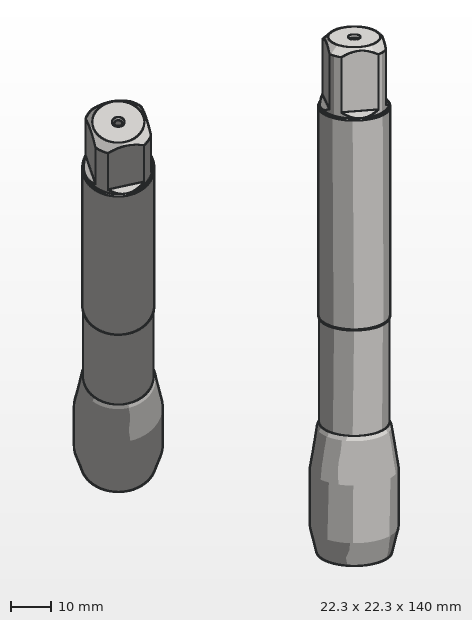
import cadquery as cq
import math

total_length = 140.0
head_length = 35.1
shank_start = 63.8
shank_end = 121.1

head_diameter = 22.3
head_tip_diameter = 19.0
head_back_diameter = 18.8
lead_length = 6.9
back_taper_start = 22.5
back_taper_end = 33.9

neck_diameter = 17.6
shank_diameter = 18.0
shank_chamfer = 0.4

drive_diameter = 17.2
drive_width = 14.4
drive_tip_diameter = 13.0
flat_start = 122.9
runout_depth = (shank_diameter - drive_width) / 2

centre_hole_diameter = 2.0
countersink_diameter = 3.1
countersink_depth = (countersink_diameter - centre_hole_diameter) / 2
centre_hole_depth = 2.8
drill_point_angle = 118.0


def revolve_profile(points):
    """Revolve a closed (radius, height) outline around the Z axis."""
    return cq.Workplane("XZ").polyline(points).close().revolve(360, (0, 0), (0, 1))


def make_cutting_head():
    return revolve_profile([
        (0, 0),
        (head_tip_diameter / 2, 0),
        (head_diameter / 2, lead_length),
        (head_diameter / 2, back_taper_start),
        (head_back_diameter / 2, back_taper_end),
        (neck_diameter / 2, head_length),
        (0, head_length),
    ])


def make_shank_blank():
    """Neck, shank and round drive blank with its end chamfer."""
    neck_radius = neck_diameter / 2
    shank_radius = shank_diameter / 2
    drive_radius = drive_diameter / 2
    tip_radius = drive_tip_diameter / 2
    end_chamfer = drive_radius - tip_radius
    step = shank_radius - drive_radius
    return revolve_profile([
        (0, head_length),
        (neck_radius, head_length),
        (neck_radius, shank_start),
        (shank_radius, shank_start + shank_chamfer),
        (shank_radius, shank_end),
        (drive_radius, shank_end + step),
        (drive_radius, total_length - end_chamfer),
        (tip_radius, total_length),
        (0, total_length),
    ])


def make_flat_cutter():
    """Wedge-ended block that cuts one drive flat and its 45 degree run-out."""
    inner = drive_width / 2
    outer = inner + runout_depth
    return (
        cq.Workplane("XZ")
        .polyline([
            (inner, flat_start),
            (outer, flat_start - runout_depth),
            (outer, total_length),
            (inner, total_length),
        ])
        .close()
        .extrude(shank_diameter / 2, both=True)
    )


def make_centre_hole():
    hole_radius = centre_hole_diameter / 2
    mouth_radius = countersink_diameter / 2
    point_depth = hole_radius / math.tan(math.radians(drill_point_angle / 2))
    return revolve_profile([
        (0, total_length - centre_hole_depth - point_depth),
        (hole_radius, total_length - centre_hole_depth),
        (hole_radius, total_length - countersink_depth),
        (mouth_radius, total_length),
        (0, total_length),
    ])


def make_shank():
    body = make_shank_blank()
    flat_cutter = make_flat_cutter()
    for side in range(4):
        body = body.cut(flat_cutter.rotate((0, 0, 0), (0, 0, 1), 90 * side))
    return body.cut(make_centre_hole())


cutting_head = make_cutting_head()
shank = make_shank()
result = cq.Compound.makeCompound([cutting_head.val(), shank.val()])